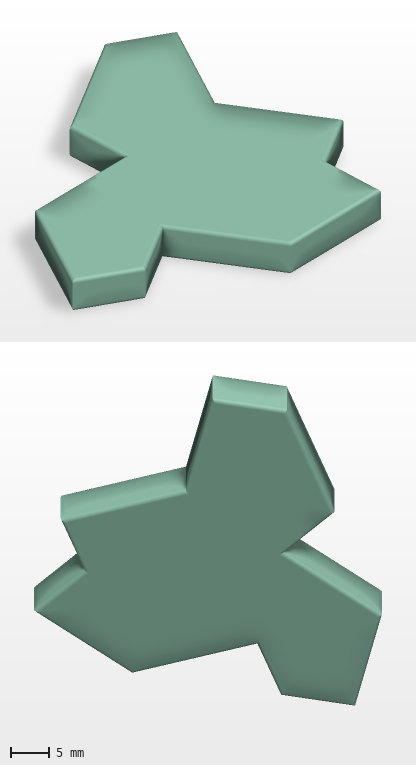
import cadquery as cq
import math

overall_width = 51.95
thickness = 5.0
edge_radius = 0.5

columns_across = 6
column = overall_width / columns_across
row = column / math.sqrt(3)

hat_corners = [
    (0, 4),
    (0, 6),
    (2, 6),
    (3, 9),
    (4, 8),
    (5, 9),
    (6, 6),
    (5, 3),
    (6, 2),
    (6, 0),
    (4, 0),
    (3, 3),
    (2, 2),
]


def hat_plate():
    """Flat plate with the hat outline."""
    outline = [(column * i, row * j) for i, j in hat_corners]
    return cq.Workplane("XY").polyline(outline).close().extrude(thickness)


def round_edges(plate):
    """Round the whole rim of the top and bottom faces."""
    return plate.faces("<Z or >Z").edges().fillet(edge_radius)


result = round_edges(hat_plate())